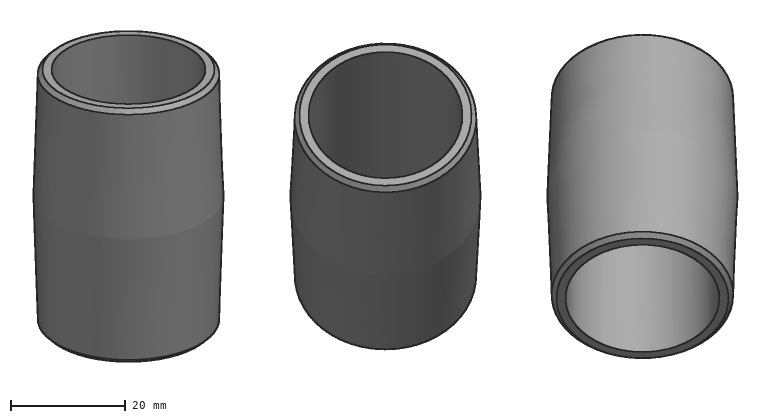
import cadquery as cq

length = 49.8
middle_diameter = 33.4
end_diameter = 31.85
bore_diameter = 27.0
chamfer_size = 0.85

half_length = length / 2
bore_radius = bore_diameter / 2
middle_radius = middle_diameter / 2
end_radius = end_diameter / 2
rim_radius = end_radius - chamfer_size
chamfer_start = half_length - chamfer_size

wall_section = (
    cq.Workplane("XZ")
    .moveTo(bore_radius, -half_length)
    .lineTo(rim_radius, -half_length)
    .lineTo(end_radius, -chamfer_start)
    .lineTo(middle_radius, 0)
    .lineTo(end_radius, chamfer_start)
    .lineTo(rim_radius, half_length)
    .lineTo(bore_radius, half_length)
    .close()
)

result = wall_section.revolve(360, (0, 0, 0), (0, 1, 0))